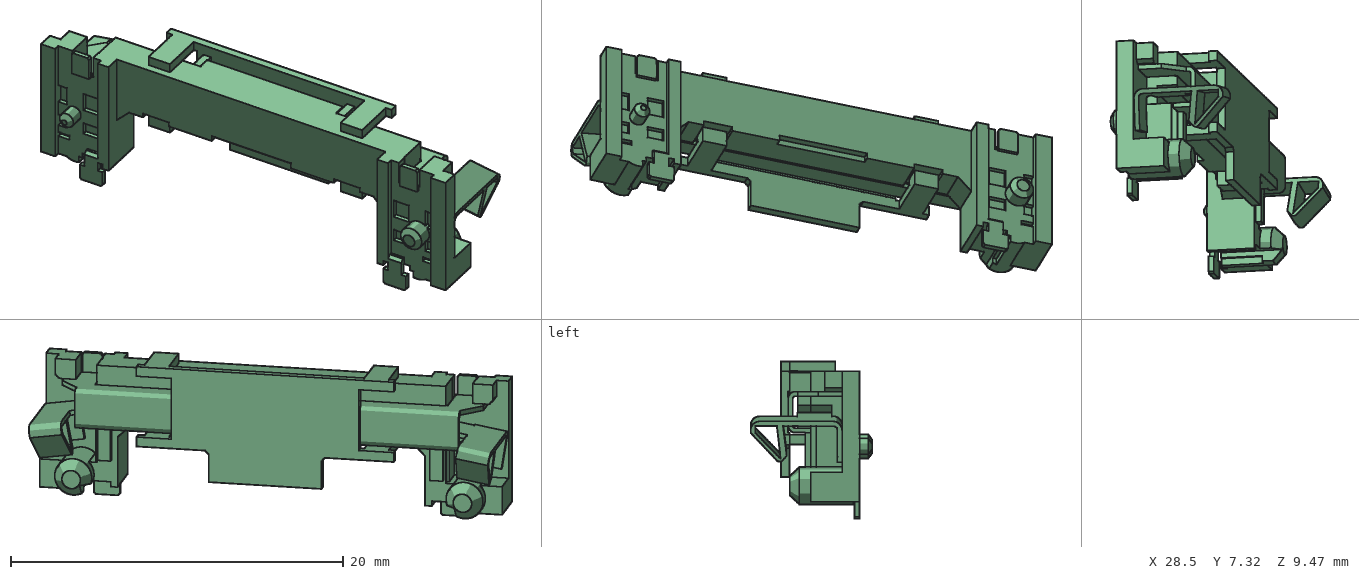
import cadquery as cq


END_X = 14.2
END_PAD = 0.05
TOP_Z = 7.85

FLANGE_X = 13.2
FLANGE_BACK_Y = 1.05
COLUMN_X0 = 9.45
COLUMN_X1 = 10.2
COLUMN_BOTTOM_Z = 0.28
CHEEK_X, CHEEK_BACK_Y = 10.87, 2.6
WALL_Y = 0.37
HOUSING_BACK_Y = 2.93
FOOT_TOP_Z = 1.75
HEAD_X0, HEAD_X1 = 12.2, 13.45
HEAD_BACK_Y = 2.08
HEAD_CHAMFER = 0.23
NOTCH_X0, NOTCH_X1 = 10.75, 12.23
NOTCH_Z = 6.43
TAB_CLEARANCE_X0, TAB_CLEARANCE_X1 = 9.87, 11.52
TAB_CLEARANCE_Z = 0.6
FOOT_STEP_X = 11.75

POCKET_DEPTH = 0.28
INNER_POCKET_X0, INNER_POCKET_X1 = 10.38, 11.45
OUTER_POCKET_X0 = 12.6
POCKET_ROWS = [(2.08, 2.85), (3.78, 4.98)]
SLIT_X0 = 12.43
SLIT_Z0, SLIT_Z1 = 1.28, 1.56

POST_X, POST_Z = 12.03, 0.97
POST_RADIUS = 1.15
POST_TIP_RADIUS = 0.57
POST_CONE_Y = 3.6
POST_TIP_Y = 4.2
PEG_Z = 3.33
SMALL_PEG_X, LARGE_PEG_X = -12.1, 12.15
PEG_TIP_Y = -0.77
PEG_CONE = 0.25
SMALL_PEG_RADIUS, SMALL_PEG_TIP_RADIUS = 0.48, 0.17
LARGE_PEG_RADIUS, LARGE_PEG_TIP_RADIUS = 0.75, 0.4

BEAM_FRONT_Y = 0.97
BEAM_BOTTOM_Z = 4.27
BEAM_END_X = 10.73
GUSSET = 0.85
CENTRE_X = 4.78
CENTRE_BACK_Y = 3.73
RIB_X = 5.32
RIB_TOP_Z = 7.77
SLOT_FRONT_Y = 1.68
SLOT_Z0, SLOT_Z1 = 4.67, 5.38
SLOT_FLARE = 0.43
WINDOW_X, WINDOW_Z, WINDOW_DEPTH = 2.8, 4.65, 0.43

SHEET = 0.28
SHEET_TOP_Z = 6.63
SHEET_BACK_Y = 4.3
SHEET_BOTTOM_Z = 4.15
SHEET_BEND = 0.43
STRIP_END_X = 11.8
WING_X = 12.95
WING_FRONT_Y, WING_BACK_Y = 2.48, 3.73
TONGUE_X0, TONGUE_X1 = 10.92, 12.15
TONGUE_Y = 0.17
TONGUE_CHAMFER = 0.1
RELIEF_WIDTH, RELIEF_BACK_Y = 0.1, 2.82
LEG_X0, LEG_X1 = 9.82, 10.6
LEG_BACK_Y, LEG_BOTTOM_Z = 3.27, 2.0

TAB_X = 10.67
TAB_NECK_WIDTH = 0.95
TAB_PAD_WIDTH = 1.6
TAB_THICKNESS = 0.3
TAB_PAD_Z0, TAB_PAD_Z1 = -1.02, 0.03
TAB_NECK_Z = 1.08
TAB_BEVEL = 0.2
TAB_CHAMFER = 0.1

ARM_WIDTH = 2.0
ARM_TILT = 9.0
ARM_TOP_Z = 4.85
ARM_BACK_Y = 6.55
ARM_BEND = 0.55
ARM_LEG_Z = 2.35
LOOP_SHOULDER_Z = 4.13
LOOP_TIP_Y, LOOP_TIP_Z = 4.8, 2.28
LOOP_BEND = 0.23
RETURN_TIP_Y, RETURN_TIP_Z = 4.38, 2.73
RETURN_TOP_Y = 4.6
RETURN_THICKNESS = 0.37
ROOT_WIDTH = 3.4
ROOT_Y0, ROOT_Y1 = 1.68, 3.75

CAP_BACK_Y = 4.72
CAP_FRONT_Y = 4.2
CAP_X = 7.9
CAP_RAIL = 0.6
CAP_LOWER_Z = 3.45
CAP_WEB_X = 5.78
FINGER_X0, FINGER_X1 = 6.0, 7.5
FINGER_FRONT_Y = 1.45
HOOK_LENGTH, HOOK_TOP_Z = 1.0, 4.47
HOOK_RECESS_X0, HOOK_RECESS_X1 = 5.8, 7.62
HOOK_RECESS_Z = 4.55
CAP_TAB_X, CAP_TAB_Z = 3.47, 1.48
CAP_TAB_CHAMFER = 0.23


def box(x0, x1, y0, y1, z0, z1):
    return cq.Workplane("XY").box(x1 - x0, y1 - y0, z1 - z0, centered=False).translate((x0, y0, z0))


def prism_along_y(points, y0, y1):
    """Extrude a closed (x, z) outline from y0 to y1."""
    return cq.Workplane("XZ", origin=(0, y0, 0)).polyline(points).close().extrude(y0 - y1)


def prism_along_x(points, x0, x1):
    """Extrude a closed (y, z) outline from x0 to x1."""
    return cq.Workplane("YZ", origin=(x0, 0, 0)).polyline(points).close().extrude(x1 - x0)


def round_pin(x, z, y_root, radius, y_cone, tip_radius, y_tip):
    """Cylinder along Y that ends in a blunt cone."""
    profile = [(0, y_root), (radius, y_root), (radius, y_cone), (tip_radius, y_tip), (0, y_tip)]
    pin = cq.Workplane("XY").polyline(profile).close().revolve(360, (0, 0, 0), (0, 1, 0))
    return pin.translate((x, 0, z))


def make_beam():
    """Cross beam between the end blocks, with a card slot open to both ends and to the back."""
    beam = box(-BEAM_END_X, BEAM_END_X, BEAM_FRONT_Y, HOUSING_BACK_Y, BEAM_BOTTOM_Z, TOP_Z)
    beam = beam.union(box(-CENTRE_X, CENTRE_X, BEAM_FRONT_Y, CENTRE_BACK_Y, BEAM_BOTTOM_Z, TOP_Z))
    for side, y0, y1 in (
        (BEAM_END_X, SLOT_FRONT_Y, HOUSING_BACK_Y),
        (CENTRE_X, HOUSING_BACK_Y, CENTRE_BACK_Y),
    ):
        slot = [
            (-side, SLOT_Z0),
            (side, SLOT_Z0),
            (side, SLOT_Z1 + SLOT_FLARE),
            (side - SLOT_FLARE, SLOT_Z1),
            (SLOT_FLARE - side, SLOT_Z1),
            (-side, SLOT_Z1 + SLOT_FLARE),
        ]
        beam = beam.cut(prism_along_y(slot, y0, y1))
    window = box(-WINDOW_X, WINDOW_X, BEAM_FRONT_Y, BEAM_FRONT_Y + WINDOW_DEPTH, BEAM_BOTTOM_Z, WINDOW_Z)
    return beam.cut(window)


def make_end_block():
    """Plastic end block on the +X side."""
    block = box(COLUMN_X0, END_X, 0, FLANGE_BACK_Y, 0, TOP_Z)
    block = block.union(box(COLUMN_X0, BEAM_END_X, 0, HOUSING_BACK_Y, 0, SLOT_Z0))
    block = block.union(box(COLUMN_X0, CHEEK_X, 0, CHEEK_BACK_Y, 0, SLOT_Z0))
    block = block.union(box(COLUMN_X0, END_X, 0, HOUSING_BACK_Y, 0, FOOT_TOP_Z))
    post = round_pin(POST_X, POST_Z, WALL_Y, POST_RADIUS, POST_CONE_Y, POST_TIP_RADIUS, POST_TIP_Y)
    block = block.union(post)
    block = block.cut(box(COLUMN_X1, FLANGE_X, 0, WALL_Y, 0, TOP_Z))
    block = block.cut(box(NOTCH_X0, NOTCH_X1, 0, FLANGE_BACK_Y, NOTCH_Z, TOP_Z))
    head = [
        (HEAD_X0, SHEET_TOP_Z),
        (HEAD_X1 - HEAD_CHAMFER, SHEET_TOP_Z),
        (HEAD_X1, SHEET_TOP_Z + HEAD_CHAMFER),
        (HEAD_X1, TOP_Z),
        (HEAD_X0, TOP_Z),
    ]
    block = block.union(prism_along_y(head, WALL_Y, HEAD_BACK_Y))
    post_bottom_z = POST_Z - POST_RADIUS
    block = block.cut(box(COLUMN_X0, FOOT_STEP_X, 0, HOUSING_BACK_Y, post_bottom_z, COLUMN_BOTTOM_Z))
    block = block.cut(box(TAB_CLEARANCE_X0, TAB_CLEARANCE_X1, 0, POST_TIP_Y, post_bottom_z, TAB_CLEARANCE_Z))
    pocket_back = WALL_Y + POCKET_DEPTH
    for z0, z1 in POCKET_ROWS:
        block = block.cut(box(INNER_POCKET_X0, INNER_POCKET_X1, WALL_Y, pocket_back, z0, z1))
        block = block.cut(box(OUTER_POCKET_X0, FLANGE_X, WALL_Y, pocket_back, z0, z1))
    block = block.cut(box(SLIT_X0, FLANGE_X, WALL_Y, pocket_back, SLIT_Z0, SLIT_Z1))
    gusset = [
        (COLUMN_X0, BEAM_BOTTOM_Z),
        (COLUMN_X0 - GUSSET, BEAM_BOTTOM_Z),
        (COLUMN_X0, BEAM_BOTTOM_Z - GUSSET),
    ]
    block = block.union(prism_along_y(gusset, BEAM_FRONT_Y, HOUSING_BACK_Y))
    rib = box(CENTRE_X, RIB_X, HOUSING_BACK_Y, CAP_FRONT_Y, SHEET_TOP_Z - SHEET, RIB_TOP_Z)
    return block.union(rib)


def make_sheet_strip():
    """Sheet-metal channel wrapped round the back of the beam over its whole length."""
    channel = box(-STRIP_END_X, STRIP_END_X, HOUSING_BACK_Y, SHEET_BACK_Y, SHEET_BOTTOM_Z, SHEET_TOP_Z)
    channel = channel.edges("|X and >Y").fillet(SHEET_BEND)
    inside = box(-STRIP_END_X, STRIP_END_X, HOUSING_BACK_Y, SHEET_BACK_Y - SHEET,
                 SHEET_BOTTOM_Z + SHEET, SHEET_TOP_Z - SHEET)
    inside = inside.edges("|X and >Y").fillet(SHEET_BEND - SHEET)
    return channel.cut(inside)


def make_sheet_end():
    """Wing, upright tongue and rear leg of the sheet metal on the +X side."""
    wing = (
        cq.Workplane("XY", origin=(0, 0, SHEET_TOP_Z - SHEET))
        .polyline([
            (BEAM_END_X - SHEET, TONGUE_Y),
            (TONGUE_X1, TONGUE_Y),
            (TONGUE_X1, WALL_Y),
            (WING_X, WALL_Y),
            (WING_X, WING_FRONT_Y),
            (STRIP_END_X, WING_BACK_Y),
            (BEAM_END_X - SHEET, WING_BACK_Y),
        ])
        .close()
        .extrude(SHEET)
    )
    wing = wing.cut(box(BEAM_END_X, BEAM_END_X + RELIEF_WIDTH, WALL_Y, RELIEF_BACK_Y, 0, TOP_Z))
    wing = wing.cut(box(COLUMN_X1, TONGUE_X0, 0, WALL_Y, 0, TOP_Z))
    tongue = box(TONGUE_X0, TONGUE_X1, TONGUE_Y, TONGUE_Y + SHEET, NOTCH_Z, TOP_Z)
    tongue = tongue.edges("|Y and >Z").chamfer(TONGUE_CHAMFER)
    leg = box(LEG_X0, LEG_X1, HOUSING_BACK_Y, LEG_BACK_Y, LEG_BOTTOM_Z, SHEET_BOTTOM_Z + SHEET)
    return wing.union(tongue).union(leg)


def make_solder_tab():
    pad = box(TAB_X - TAB_PAD_WIDTH / 2, TAB_X + TAB_PAD_WIDTH / 2, 0, TAB_THICKNESS, TAB_PAD_Z0, TAB_PAD_Z1)
    pad = pad.edges("|Y and <Z").chamfer(TAB_CHAMFER)
    neck_side = [
        (0, TAB_PAD_Z0 + SHEET),
        (0, TAB_NECK_Z - TAB_BEVEL),
        (TAB_BEVEL, TAB_NECK_Z),
        (WALL_Y + SHEET, TAB_NECK_Z),
        (WALL_Y + SHEET, TAB_CLEARANCE_Z),
        (TAB_THICKNESS, TAB_CLEARANCE_Z),
        (TAB_THICKNESS, TAB_PAD_Z0 + SHEET),
    ]
    neck = prism_along_x(neck_side, TAB_X - TAB_NECK_WIDTH / 2, TAB_X + TAB_NECK_WIDTH / 2)
    return pad.union(neck)


def make_spring_arm():
    """Folded spring arm on the +X side: leg, long leaf, and a loop turned back under its end."""
    leaf_bottom_z = ARM_TOP_Z - SHEET
    leg_front_y = FLANGE_BACK_Y
    outline = [
        (leg_front_y, ARM_LEG_Z),
        (leg_front_y, ARM_TOP_Z),
        (ARM_BACK_Y, ARM_TOP_Z),
        (ARM_BACK_Y, LOOP_SHOULDER_Z),
        (LOOP_TIP_Y, LOOP_TIP_Z),
        (RETURN_TIP_Y, RETURN_TIP_Z),
        (RETURN_TOP_Y, leaf_bottom_z),
        (leg_front_y + SHEET, leaf_bottom_z),
        (leg_front_y + SHEET, ARM_LEG_Z),
    ]
    opening = [
        (ARM_BACK_Y - SHEET, leaf_bottom_z),
        (ARM_BACK_Y - SHEET, LOOP_SHOULDER_Z),
        (RETURN_TIP_Y + RETURN_THICKNESS, LOOP_TIP_Z + SHEET),
        (RETURN_TOP_Y + RETURN_THICKNESS, leaf_bottom_z),
    ]
    inner_x = END_X - ARM_WIDTH
    arm = prism_along_x(outline, inner_x, END_X)
    arm = arm.edges("|X and >Z").fillet(ARM_BEND)
    middle_x = END_X - ARM_WIDTH / 2
    inner_bend = cq.selectors.NearestToPointSelector((middle_x, leg_front_y + SHEET, leaf_bottom_z))
    arm = arm.edges(inner_bend).fillet(ARM_BEND - SHEET)
    loop_tip = cq.selectors.NearestToPointSelector((middle_x, LOOP_TIP_Y, LOOP_TIP_Z))
    arm = arm.edges(loop_tip).fillet(LOOP_BEND)
    arm = arm.cut(prism_along_x(opening, inner_x, END_X))
    root = box(END_X - ROOT_WIDTH, END_X, ROOT_Y0, ROOT_Y1, leaf_bottom_z, ARM_TOP_Z)
    pivot = (END_X, 0, ARM_TOP_Z)
    return arm.union(root).rotate(pivot, (END_X, 1, ARM_TOP_Z), ARM_TILT)


def make_connector():
    """Housing with its sheet metal, one solid, with recesses for the cap hooks."""
    end = make_end_block()
    for part in (make_sheet_end(), make_solder_tab(), make_spring_arm()):
        end = end.union(part)
    body = make_beam().union(make_sheet_strip()).union(end).union(end.mirror("YZ"))
    body = body.union(box(END_X, END_X + END_PAD, 0, FLANGE_BACK_Y, 0, TOP_Z))
    body = body.union(box(END_X, END_X + END_PAD, 0, HOUSING_BACK_Y, 0, FOOT_TOP_Z))
    for x0, x1 in ((HOOK_RECESS_X0, HOOK_RECESS_X1), (-HOOK_RECESS_X1, -HOOK_RECESS_X0)):
        body = body.cut(box(x0, x1, BEAM_FRONT_Y, HOUSING_BACK_Y, SHEET_BOTTOM_Z, HOOK_RECESS_Z))
    for x, radius, tip_radius in (
        (SMALL_PEG_X, SMALL_PEG_RADIUS, SMALL_PEG_TIP_RADIUS),
        (LARGE_PEG_X, LARGE_PEG_RADIUS, LARGE_PEG_TIP_RADIUS),
    ):
        root_y = WALL_Y + POCKET_DEPTH
        body = body.union(round_pin(x, PEG_Z, root_y, radius, PEG_TIP_Y + PEG_CONE, tip_radius, PEG_TIP_Y))
    return body


def make_cap():
    """Cap that clips over the beam from behind with two fingers above and two hooks below."""
    upper_top = TOP_Z + CAP_RAIL
    lower_top = CAP_LOWER_Z + CAP_RAIL
    web = box(-CAP_WEB_X, CAP_WEB_X, CAP_FRONT_Y, CAP_BACK_Y, CAP_LOWER_Z, upper_top)
    web = web.cut(box(-CAP_WEB_X, CAP_WEB_X, CAP_FRONT_Y, SHEET_BACK_Y, SHEET_BOTTOM_Z, SHEET_TOP_Z))
    cap = web.union(box(-CAP_X, CAP_X, CAP_FRONT_Y, CAP_BACK_Y, TOP_Z, upper_top))
    cap = cap.union(box(-CAP_X, CAP_X, CAP_FRONT_Y, CAP_BACK_Y, CAP_LOWER_Z, lower_top))
    tab = [
        (-CAP_TAB_X, CAP_TAB_Z),
        (CAP_TAB_X, CAP_TAB_Z),
        (CAP_TAB_X, CAP_LOWER_Z - CAP_TAB_CHAMFER),
        (CAP_TAB_X + CAP_TAB_CHAMFER, CAP_LOWER_Z),
        (-CAP_TAB_X - CAP_TAB_CHAMFER, CAP_LOWER_Z),
        (-CAP_TAB_X, CAP_LOWER_Z - CAP_TAB_CHAMFER),
    ]
    cap = cap.union(prism_along_y(tab, CAP_FRONT_Y, CAP_BACK_Y))
    hook_back_y = FINGER_FRONT_Y + HOOK_LENGTH
    for x0, x1 in ((FINGER_X0, FINGER_X1), (-FINGER_X1, -FINGER_X0)):
        cap = cap.union(box(x0, x1, FINGER_FRONT_Y, CAP_BACK_Y, TOP_Z, upper_top))
        cap = cap.union(box(x0, x1, FINGER_FRONT_Y, CAP_BACK_Y, CAP_LOWER_Z, lower_top))
        cap = cap.union(box(x0, x1, FINGER_FRONT_Y, hook_back_y, CAP_LOWER_Z, HOOK_TOP_Z))
    return cap


cap = make_cap()
connector = make_connector()
result = cq.Compound.makeCompound([*connector.solids().vals(), *cap.solids().vals()])